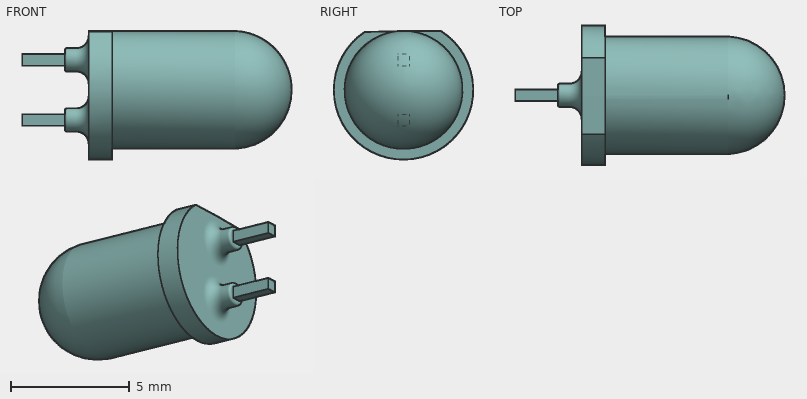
import cadquery as cq
import math

total_length = 11.4
lead_length = 1.8
collar_length = 1.0
flange_thickness = 1.0
barrel_length = 5.2
flange_start = lead_length + collar_length
barrel_start = flange_start + flange_thickness
dome_start = barrel_start + barrel_length

flange_radius = 2.95
barrel_radius = 2.5
flat_drop = 0.05
facet_width = 0.14

lead_pitch = 2.54
lead_width = 0.5
collar_radius = 0.5
collar_rounding = 0.1
flare_radius = 0.5


def make_flange():
    """Disc with a flat on top, level on the +Y half and slightly falling on the -Y half."""
    flat_height = barrel_radius
    low_height = flat_height - flat_drop
    high_end = (math.sqrt(flange_radius**2 - flat_height**2), flat_height)
    low_end = (-math.sqrt(flange_radius**2 - low_height**2), low_height)
    return (
        cq.Workplane("YZ", origin=(flange_start, 0, 0))
        .moveTo(0, flat_height)
        .lineTo(*low_end)
        .threePointArc((0, -flange_radius), high_end)
        .close()
        .extrude(flange_thickness)
    )


def make_barrel():
    """Round barrel with one narrow facet running along its top."""
    facet_edge = (-facet_width, math.sqrt(barrel_radius**2 - facet_width**2))
    return (
        cq.Workplane("YZ", origin=(barrel_start, 0, 0))
        .moveTo(0, barrel_radius)
        .lineTo(*facet_edge)
        .threePointArc((0, -barrel_radius), (0, barrel_radius))
        .close()
        .extrude(barrel_length)
    )


def make_dome():
    """Spherical cap centred on the axis, from the barrel rim to the tip."""
    height = total_length - dome_start
    sphere_radius = (height**2 + barrel_radius**2) / (2 * height)
    centre = total_length - sphere_radius
    middle = sphere_radius * math.sqrt(0.5)
    return (
        cq.Workplane("XZ")
        .moveTo(dome_start, 0)
        .lineTo(dome_start, barrel_radius)
        .threePointArc((centre + middle, middle), (total_length, 0))
        .close()
        .revolve(360, (0, 0, 0), (1, 0, 0))
    )


def make_lead(height):
    """Square lead with a rounded collar that flares into the flange."""
    collar_start = lead_length
    flare_start = flange_start - flare_radius
    flare_rim = collar_radius + flare_radius
    flare_offset = flare_radius * math.sqrt(0.5)
    round_offset = collar_rounding * (1 - math.sqrt(0.5))
    collar = (
        cq.Workplane("XZ")
        .moveTo(collar_start, 0)
        .lineTo(collar_start, collar_radius - collar_rounding)
        .threePointArc(
            (collar_start + round_offset, collar_radius - round_offset),
            (collar_start + collar_rounding, collar_radius),
        )
        .lineTo(flare_start, collar_radius)
        .threePointArc(
            (flare_start + flare_offset, flare_rim - flare_offset),
            (flange_start, flare_rim),
        )
        .lineTo(flange_start, 0)
        .close()
        .revolve(360, (0, 0, 0), (1, 0, 0))
    )
    lead = cq.Workplane("YZ").rect(lead_width, lead_width).extrude(flange_start)
    return collar.union(lead).translate((0, 0, height))


result = make_flange().union(make_barrel()).union(make_dome())
for side in (-1, 1):
    result = result.union(make_lead(side * lead_pitch / 2))